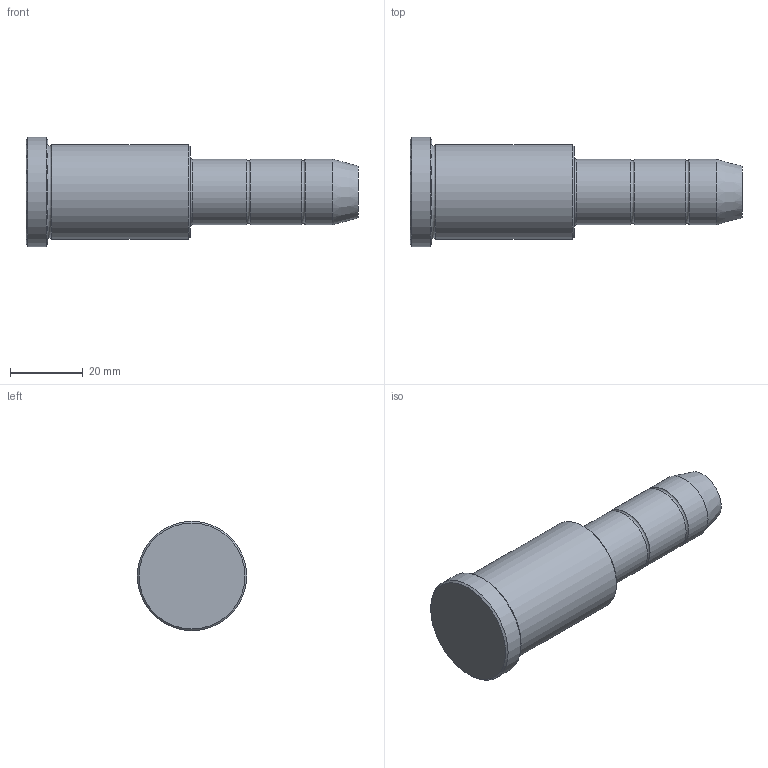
import cadquery as cq
import math

total_length = 91.0

head_radius = 30.0 / 2
head_length = 6.0
head_chamfer = 0.5

neck_length = 1.0
neck_depth = neck_length / 2

body_radius = 26.0 / 2
body_end = 45.0
body_chamfer = 0.5

pin_radius = 18.0 / 2
pin_fillet = 0.5
groove_pitch = 15.0
groove_count = 2
groove_datum = 46.0
groove_centers = [groove_datum + groove_pitch * (i + 1) for i in range(groove_count)]
groove_width = 1.0
groove_depth = groove_width / 2

tip_length = 7.0
tip_angle = 15.0
tip_radius = pin_radius - tip_length * math.tan(math.radians(tip_angle))

diagonal = math.sqrt(0.5)


def add_head(outline):
    """Flange with both rims chamfered, followed by the relief neck."""
    return (
        outline.lineTo(0, head_radius - head_chamfer)
        .lineTo(head_chamfer, head_radius)
        .lineTo(head_length - head_chamfer, head_radius)
        .lineTo(head_length, head_radius - head_chamfer)
        .lineTo(head_length, body_radius)
        .threePointArc(
            (head_length + neck_length / 2, body_radius - neck_depth),
            (head_length + neck_length, body_radius),
        )
    )


def add_body(outline):
    """Cylinder chamfered at its leading end."""
    return (
        outline.lineTo(body_end - body_chamfer, body_radius)
        .lineTo(body_end, body_radius - body_chamfer)
    )


def add_pin(outline):
    """Pin filleted into the body end, with round-bottomed grooves and a tapered tip."""
    arc_center = (body_end + pin_fillet, pin_radius + pin_fillet)
    arc_middle = tuple(c - pin_fillet * diagonal for c in arc_center)
    outline = outline.lineTo(body_end, arc_center[1])
    outline = outline.threePointArc(arc_middle, (arc_center[0], pin_radius))
    for center in groove_centers:
        outline = outline.lineTo(center - groove_width / 2, pin_radius)
        outline = outline.threePointArc(
            (center, pin_radius - groove_depth),
            (center + groove_width / 2, pin_radius),
        )
    return (
        outline.lineTo(total_length - tip_length, pin_radius)
        .lineTo(total_length, tip_radius)
        .lineTo(total_length, 0)
    )


profile = cq.Workplane("XZ").moveTo(0, 0)
profile = add_head(profile)
profile = add_body(profile)
profile = add_pin(profile)

result = profile.close().revolve(360, (0, 0, 0), (1, 0, 0))